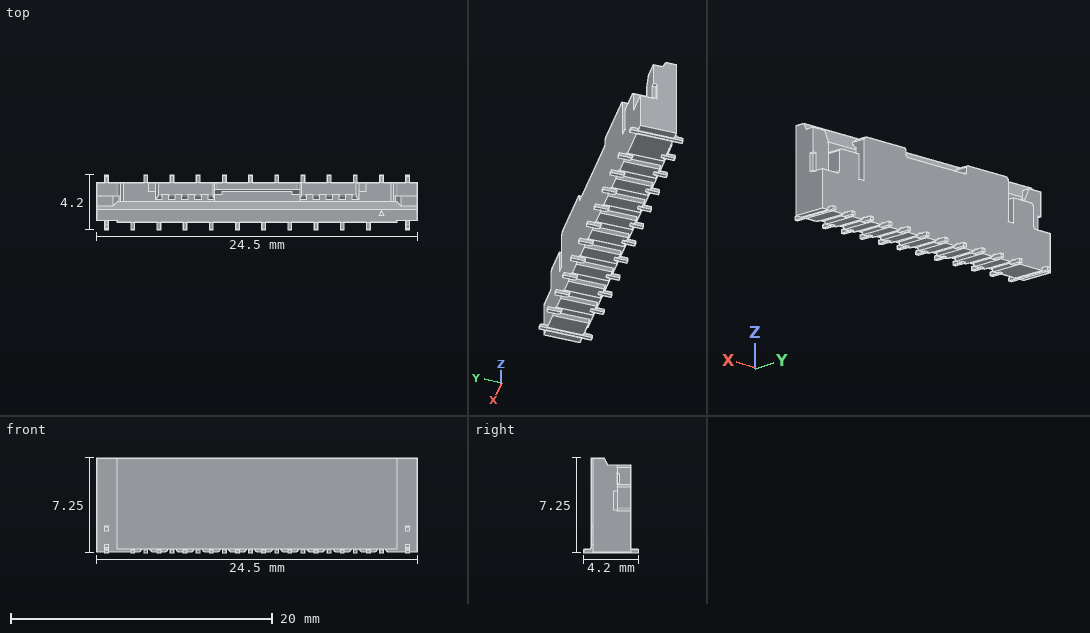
import cadquery as cq
import math

LENGTH = 24.5
PITCH = LENGTH / 24.5
HEIGHT = 7.25
BOTTOM = 0.07
FRONT_Y = -1.37
REAR_Y = 1.52
SHELF_Z = 3.2

PANEL_HALF = 10.68
PANEL_Y = -1.52
PANEL_BOTTOM = 0.3

WALL_TOP_Y = -0.51
WALL_INNER_Y = 0.07
LEAD_IN_SLOPE = 2.0

POST_TOP = 6.74
POST_REAR_Y = 0.5
POST_INNER_TOP_X = 11.0
POST_INNER_X = 10.55
NOTCH_BOTTOM = 3.28
NOTCH_TOP = 4.75
NOTCH_FRONT_Y = 0.17
NOTCH_DEPTH = 0.3

CORE_HALF = 10.44
CORE_TOP = 5.22
CORE_BEVEL_RUN = 0.22
CORE_BEVEL_DROP = 0.17
CORE_FOOT_RADIUS = 0.25
CENTER_FLOOR_Z = 4.97

LATCH_INNER = 3.25
LATCH_OUTER = 7.77
LATCH_FRONT_Y = 0.61
LATCH_BEVEL_OUTER = 0.22
LATCH_BEVEL_INNER = 0.12
TOOTH_COUNT = 5
TOOTH_WIDTH = PITCH / 2
TOOTH_FRONT_Y = 0.25
LATCH_FOOT_BEVEL = 0.12
POCKET_WIDTH = 0.55
POCKET_FRONT_Y = 0.83

BRIDGE_TOP = 6.03
BRIDGE_TOP_Y = 1.0
BRIDGE_SLOPE = 1.0
BRIDGE_RECESS_HALF = 2.67
BRIDGE_RECESS_Y = 0.83
BRIDGE_CORNER_RADIUS = 0.2

LEAD_WIDTH = 0.3
LEAD_THICKNESS = 0.3
LEAD_SPAN = 4.2
LEAD_TIP_Y = LEAD_SPAN / 2
LEAD_INNER_Y = 0.98
LEAD_BEND_RADIUS = 0.25
LEADS_PER_ROW = 10
TIP_BEVEL_DROP = 0.07
CONTACT_TIP_RUN = 0.02
STRAP_TIP_RUN = 0.12
STRAP_X = 11.5 * PITCH
STRAP_FACE_Y = -1.5
STRAP_TOP = 0.65
STRAP_BEVEL = 0.15
BARB_BOTTOM = 1.7
BARB_TOP = 2.08
BARB_BEVEL = 0.1

CHANNEL_TOP_WIDTH = 0.55
CHANNEL_BOTTOM_WIDTH = 0.95

MARK_HALF = 0.184
MARK_BASE_Y = -1.0
MARK_APEX_Y = -0.61
MARK_DEPTH = 0.07

FIRST_FRONT_X = -(LEADS_PER_ROW - 0.5) * PITCH
front_lead_xs = [FIRST_FRONT_X + 2 * PITCH * i for i in range(LEADS_PER_ROW)]
rear_lead_xs = [x + PITCH for x in front_lead_xs]


def block(x0, x1, y0, y1, z0, z1):
    """Box between two opposite corners."""
    return cq.Workplane("XY").box(x1 - x0, y1 - y0, z1 - z0, centered=False).translate((x0, y0, z0))


def along_x(profile, x0, x1):
    """Sweep a YZ workplane profile from x0 to x1."""
    return profile.extrude(x1 - x0).translate((x0, 0, 0))


def along_y(profile, y0, y1):
    """Sweep an XZ workplane profile from y0 to y1."""
    return profile.extrude(y0 - y1).translate((0, y0, 0))


def polygon(plane, points):
    return cq.Workplane(plane).polyline(points).close()


def both_ends(solid):
    """The solid together with its mirror image at the opposite end in X."""
    return solid.union(solid.mirror("YZ"))


def front_wall():
    lead_in_bottom = HEIGHT - LEAD_IN_SLOPE * (WALL_INNER_Y - WALL_TOP_Y)
    profile = polygon("YZ", [
        (FRONT_Y, BOTTOM),
        (FRONT_Y, HEIGHT),
        (WALL_TOP_Y, HEIGHT),
        (WALL_INNER_Y, lead_in_bottom),
        (WALL_INNER_Y, BOTTOM),
    ])
    return along_x(profile, -LENGTH / 2, LENGTH / 2)


def front_panel():
    return block(-PANEL_HALF, PANEL_HALF, PANEL_Y, FRONT_Y, PANEL_BOTTOM, HEIGHT)


def end_post():
    """Post at the +X end with a sloped inner side and a notch in its outer rear corner."""
    outer = LENGTH / 2
    lead_in_bottom = POST_TOP - LEAD_IN_SLOPE * (POST_INNER_TOP_X - POST_INNER_X)
    profile = polygon("XZ", [
        (outer, BOTTOM),
        (outer, POST_TOP),
        (POST_INNER_TOP_X, POST_TOP),
        (POST_INNER_X, lead_in_bottom),
        (POST_INNER_X, BOTTOM),
    ])
    post = along_y(profile, WALL_TOP_Y, POST_REAR_Y)
    notch = block(outer - NOTCH_DEPTH, outer, NOTCH_FRONT_Y, POST_REAR_Y, NOTCH_BOTTOM, NOTCH_TOP)
    return post.cut(notch)


def core():
    """Block behind the wall: bevelled along its top ends, rounded into the shelf at its foot."""
    bevel_x = CORE_HALF - CORE_BEVEL_RUN
    bevel_z = CORE_TOP - CORE_BEVEL_DROP
    profile = polygon("XZ", [
        (-CORE_HALF, BOTTOM),
        (-CORE_HALF, bevel_z),
        (-bevel_x, CORE_TOP),
        (bevel_x, CORE_TOP),
        (CORE_HALF, bevel_z),
        (CORE_HALF, BOTTOM),
    ])
    lowered_floor = block(-LATCH_INNER, LATCH_INNER, WALL_INNER_Y, REAR_Y, CENTER_FLOOR_Z, CORE_TOP)
    return along_y(profile, 0, REAR_Y).cut(lowered_floor)


def concave_corner(x, z, radius, y0, y1):
    """Fillet filling the corner at (x, z) that opens towards +X and +Z."""
    middle = radius * (1 - math.sqrt(0.5))
    profile = (
        cq.Workplane("XZ")
        .moveTo(x, z)
        .lineTo(x + radius, z)
        .threePointArc((x + middle, z + middle), (x, z + radius))
        .close()
    )
    return along_y(profile, y0, y1)


def shelf():
    base = block(-LENGTH / 2, LENGTH / 2, FRONT_Y, REAR_Y, BOTTOM, SHELF_Z)
    foot = concave_corner(CORE_HALF, SHELF_Z, CORE_FOOT_RADIUS, POST_REAR_Y, REAR_Y)
    return base.union(both_ends(foot))


def tooth(x0, x1):
    """Hook tooth with a quarter-round top and a 45 degree underside."""
    radius = LATCH_FRONT_Y - TOOTH_FRONT_Y
    arc_offset = radius * math.sqrt(0.5)
    profile = (
        cq.Workplane("YZ")
        .moveTo(LATCH_FRONT_Y, POST_TOP - 2 * radius)
        .lineTo(LATCH_FRONT_Y, POST_TOP)
        .threePointArc(
            (LATCH_FRONT_Y - arc_offset, POST_TOP - radius + arc_offset),
            (TOOTH_FRONT_Y, POST_TOP - radius),
        )
        .close()
    )
    return along_x(profile, x0, x1)


def tooth_foot(x0, x1):
    """Bevelled foot where the latch meets the floor below a tooth."""
    profile = polygon("YZ", [
        (LATCH_FRONT_Y, CORE_TOP),
        (LATCH_FRONT_Y - LATCH_FOOT_BEVEL, CORE_TOP),
        (LATCH_FRONT_Y, CORE_TOP + LATCH_FOOT_BEVEL),
    ])
    return along_x(profile, x0, x1)


def top_corner(edge_x, run):
    """Wedge that bevels a latch's top edge at edge_x; run points into the latch."""
    profile = polygon("XZ", [
        (edge_x, POST_TOP),
        (edge_x + run, POST_TOP),
        (edge_x, POST_TOP - abs(run)),
    ])
    return along_y(profile, TOOTH_FRONT_Y, REAR_Y)


def latch():
    """Latch head on the +X side."""
    head = block(LATCH_INNER, LATCH_OUTER, LATCH_FRONT_Y, REAR_Y, CORE_TOP, POST_TOP)
    tooth_step = (LATCH_OUTER - LATCH_INNER - TOOTH_WIDTH) / (TOOTH_COUNT - 1)
    for i in range(TOOTH_COUNT):
        x = LATCH_INNER + tooth_step * i
        head = head.union(tooth(x, x + TOOTH_WIDTH)).union(tooth_foot(x, x + TOOTH_WIDTH))
    head = head.cut(top_corner(LATCH_OUTER, -LATCH_BEVEL_OUTER))
    return head.cut(top_corner(LATCH_INNER, LATCH_BEVEL_INNER))


def latch_pocket():
    """Relief pocket outside the +X latch, open to the rear."""
    return block(LATCH_OUTER, LATCH_OUTER + POCKET_WIDTH, POCKET_FRONT_Y, REAR_Y, SHELF_Z, CORE_TOP)


def bridge():
    """Low wall joining the latches: sloped front, recessed between its ends."""
    slope_bottom = BRIDGE_TOP - BRIDGE_SLOPE * (BRIDGE_TOP_Y - LATCH_FRONT_Y)
    profile = polygon("YZ", [
        (REAR_Y, CENTER_FLOOR_Z),
        (REAR_Y, BRIDGE_TOP),
        (BRIDGE_TOP_Y, BRIDGE_TOP),
        (LATCH_FRONT_Y, slope_bottom),
        (LATCH_FRONT_Y, CENTER_FLOOR_Z),
    ])
    wall = along_x(profile, -LATCH_INNER, LATCH_INNER)
    recess = block(
        -BRIDGE_RECESS_HALF, BRIDGE_RECESS_HALF,
        LATCH_FRONT_Y, BRIDGE_RECESS_Y,
        CENTER_FLOOR_Z, BRIDGE_TOP,
    )
    corner = concave_corner(-LATCH_INNER, BRIDGE_TOP, BRIDGE_CORNER_RADIUS, BRIDGE_TOP_Y, REAR_Y)
    return wall.cut(recess).union(both_ends(corner))


def contact_lead(x):
    """Flat rear foot that bends up into the housing at its inner end."""
    bend = LEAD_BEND_RADIUS * (1 - math.sqrt(0.5))
    profile = (
        cq.Workplane("YZ")
        .moveTo(LEAD_INNER_Y + LEAD_BEND_RADIUS, 0)
        .lineTo(LEAD_TIP_Y, 0)
        .lineTo(LEAD_TIP_Y, LEAD_THICKNESS - TIP_BEVEL_DROP)
        .lineTo(LEAD_TIP_Y - CONTACT_TIP_RUN, LEAD_THICKNESS)
        .lineTo(REAR_Y, LEAD_THICKNESS)
        .lineTo(REAR_Y - LEAD_BEND_RADIUS, LEAD_THICKNESS + LEAD_BEND_RADIUS)
        .lineTo(LEAD_INNER_Y, LEAD_THICKNESS + LEAD_BEND_RADIUS)
        .lineTo(LEAD_INNER_Y, LEAD_BEND_RADIUS)
        .threePointArc((LEAD_INNER_Y + bend, bend), (LEAD_INNER_Y + LEAD_BEND_RADIUS, 0))
        .close()
    )
    return along_x(profile, x - LEAD_WIDTH / 2, x + LEAD_WIDTH / 2)


def solder_strap():
    """Strap under the +X end: feet at front and rear, an upright at the front and a barb above it."""
    x0 = STRAP_X - LEAD_WIDTH / 2
    x1 = STRAP_X + LEAD_WIDTH / 2
    shoulder = LEAD_THICKNESS - TIP_BEVEL_DROP
    strap = polygon("YZ", [
        (-LEAD_TIP_Y, 0),
        (-LEAD_TIP_Y, shoulder),
        (-LEAD_TIP_Y + STRAP_TIP_RUN, LEAD_THICKNESS),
        (STRAP_FACE_Y - STRAP_BEVEL, LEAD_THICKNESS),
        (STRAP_FACE_Y, LEAD_THICKNESS + STRAP_BEVEL),
        (STRAP_FACE_Y, STRAP_TOP),
        (FRONT_Y, STRAP_TOP),
        (FRONT_Y, LEAD_THICKNESS),
        (LEAD_TIP_Y - STRAP_TIP_RUN, LEAD_THICKNESS),
        (LEAD_TIP_Y, shoulder),
        (LEAD_TIP_Y, 0),
    ])
    barb = polygon("YZ", [
        (FRONT_Y, BARB_BOTTOM),
        (STRAP_FACE_Y, BARB_BOTTOM),
        (STRAP_FACE_Y, BARB_TOP - BARB_BEVEL),
        (FRONT_Y, BARB_TOP),
    ])
    return along_x(strap, x0, x1).union(along_x(barb, x0, x1))


def lead_channel(x):
    """Tapered channel through the underside, open at front and rear."""
    profile = polygon("XZ", [
        (x - CHANNEL_BOTTOM_WIDTH / 2, BOTTOM),
        (x - CHANNEL_TOP_WIDTH / 2, PANEL_BOTTOM),
        (x + CHANNEL_TOP_WIDTH / 2, PANEL_BOTTOM),
        (x + CHANNEL_BOTTOM_WIDTH / 2, BOTTOM),
    ])
    return along_y(profile, FRONT_Y, REAR_Y)


def pin_one_mark():
    """Shallow triangle in the wall top beside the last rear lead."""
    x = rear_lead_xs[-1]
    triangle = polygon("XY", [
        (x - MARK_HALF, MARK_BASE_Y),
        (x + MARK_HALF, MARK_BASE_Y),
        (x, MARK_APEX_Y),
    ])
    return triangle.extrude(MARK_DEPTH).translate((0, 0, HEIGHT - MARK_DEPTH))


housing = shelf().union(core()).cut(both_ends(latch_pocket()))
housing = housing.union(front_wall()).union(front_panel()).union(both_ends(end_post()))
housing = housing.union(bridge()).union(both_ends(latch())).cut(pin_one_mark())

for lead_x in rear_lead_xs:
    housing = housing.cut(lead_channel(lead_x)).union(contact_lead(lead_x))
for lead_x in front_lead_xs:
    housing = housing.union(contact_lead(lead_x).mirror("XZ"))

result = housing.union(both_ends(solder_strap()))